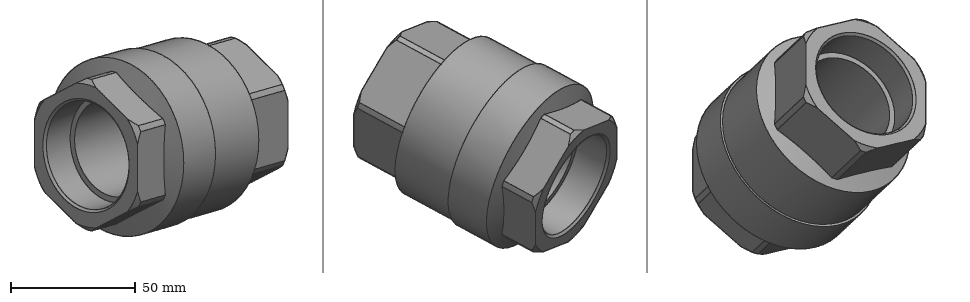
import cadquery as cq
import math

total_length = 90.0
front_hex_length = 18.0
back_hex_length = 26.0
collar_length = 19.0
front_end = -total_length / 2
back_end = total_length / 2
collar_front = front_end + front_hex_length
collar_back = collar_front + collar_length
body_back = back_end - back_hex_length

collar_radius = 73.5 / 2
body_radius = 71.5 / 2
shoulder_angle = 15.0

hex_sides = 6
across_flats = 56.0
corner_radius = 63.2 / 2
corner_chamfer = 1.9

through_diameter = 40.0
socket_diameter = 44.84
socket_depth = 15.2
mouth_chamfer = 1.0


def revolve_about_y(points):
    """Turn a closed (radius, y) outline into a solid of revolution about Y."""
    return cq.Workplane("XY").polyline(points).close().revolve(360, (0, 0, 0), (0, 1, 0))


def make_hex_bar():
    """Full-length hexagon with flats facing +X and -X, corners turned round and chamfered at both ends."""
    across_corners = across_flats / math.cos(math.pi / hex_sides)
    corner_up_angle = 90
    hexagon = (
        cq.Workplane("XZ", origin=(0, back_end, 0))
        .transformed(rotate=(0, 0, corner_up_angle))
        .polygon(hex_sides, across_corners)
        .extrude(total_length)
    )
    turned_envelope = revolve_about_y([
        (0, front_end),
        (corner_radius - corner_chamfer, front_end),
        (corner_radius, front_end + corner_chamfer),
        (corner_radius, back_end - corner_chamfer),
        (corner_radius - corner_chamfer, back_end),
        (0, back_end),
    ])
    return hexagon.intersect(turned_envelope)


def make_round_body():
    """Collar and body cylinders with conical shoulders running in under the hexagonal ends."""
    shoulder_radius = socket_diameter / 2 + mouth_chamfer
    shoulder_slope = math.tan(math.radians(shoulder_angle))
    front_rise = (collar_radius - shoulder_radius) * shoulder_slope
    back_rise = (body_radius - shoulder_radius) * shoulder_slope
    return revolve_about_y([
        (0, collar_front - front_rise),
        (shoulder_radius, collar_front - front_rise),
        (collar_radius, collar_front),
        (collar_radius, collar_back),
        (body_radius, collar_back),
        (body_radius, body_back),
        (shoulder_radius, body_back + back_rise),
        (0, body_back + back_rise),
    ])


def make_bore():
    """Through bore with a wider socket and a chamfered mouth at each end."""
    through_radius = through_diameter / 2
    socket_radius = socket_diameter / 2
    mouth_radius = socket_radius + mouth_chamfer
    return revolve_about_y([
        (0, front_end),
        (mouth_radius, front_end),
        (socket_radius, front_end + mouth_chamfer),
        (socket_radius, front_end + socket_depth),
        (through_radius, front_end + socket_depth),
        (through_radius, back_end - socket_depth),
        (socket_radius, back_end - socket_depth),
        (socket_radius, back_end - mouth_chamfer),
        (mouth_radius, back_end),
        (0, back_end),
    ])


result = make_hex_bar().union(make_round_body()).cut(make_bore())